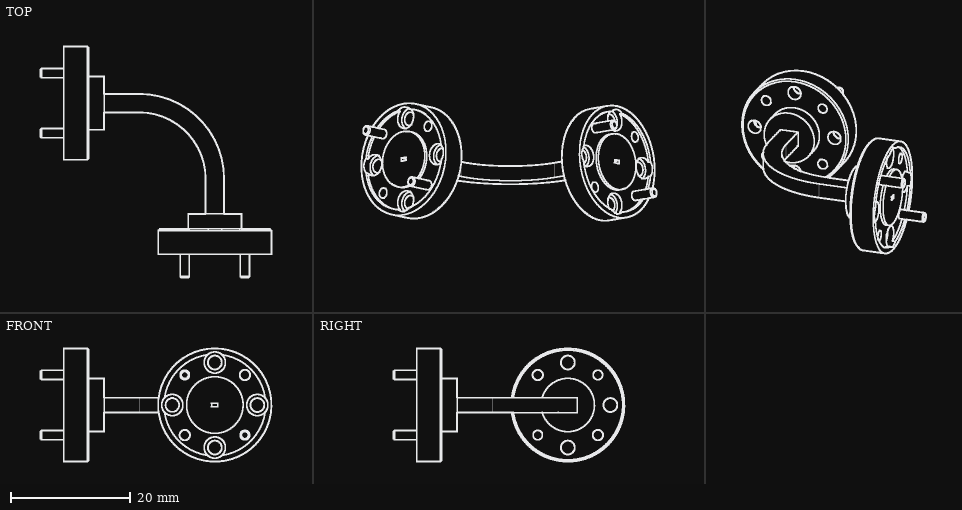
import cadquery as cq
import math

overall_length = 38.8
flange_diameter = 19.05
pin_protrusion = 3.88
face_distance = overall_length - flange_diameter / 2 - pin_protrusion

flange_thickness = 4.25
back_chamfer = 0.3
hub_diameter = 8.95
hub_length = 2.52
boss_diameter = 9.5
rim_inner_diameter = 17.07
recess_depth = 0.5

bolt_circle_radius = 7.15
screw_hole_diameter = 2.3
counterbore_diameter = 3.57
counterbore_depth = 1.55
alignment_hole_diameter = 1.7
screw_angles = [0, 90, 180, 270]
alignment_angles = [45, 225]
pin_angles = [135, 315]

pin_diameter = 1.6
pin_chamfer = 0.2

tube_width = 3.15
tube_height = 2.52
bend_radius = 12.7
channel_width = 1.05
channel_height = 0.55

port_turns = [0, -90]


def cylinder(diameter, start_depth, end_depth, angle=None):
    """Cylinder along +Y of the -Y port between two depths behind the flange face.

    It is centred on the port, or on the bolt circle when an angle is given.
    """
    x = 0 if angle is None else bolt_circle_radius * math.cos(math.radians(angle))
    z = 0 if angle is None else bolt_circle_radius * math.sin(math.radians(angle))
    base = cq.Vector(x, start_depth - face_distance, z)
    solid = cq.Solid.makeCylinder(diameter / 2, end_depth - start_depth, base, cq.Vector(0, 1, 0))
    return cq.Workplane(obj=solid)


def turn_to_port(shape, turn):
    return shape.rotate((0, 0, 0), (0, 0, 1), turn)


def make_flange():
    flange = cylinder(flange_diameter, 0, flange_thickness).faces(">Y").chamfer(back_chamfer)
    flange = flange.union(cylinder(hub_diameter, 0, flange_thickness + hub_length))

    recess = cylinder(rim_inner_diameter, 0, recess_depth).cut(cylinder(boss_diameter, 0, recess_depth))
    flange = flange.cut(recess)

    for angle in screw_angles:
        flange = flange.cut(cylinder(screw_hole_diameter, 0, flange_thickness, angle))
        flange = flange.cut(cylinder(counterbore_diameter, 0, counterbore_depth, angle))
    for angle in alignment_angles:
        flange = flange.cut(cylinder(alignment_hole_diameter, 0, flange_thickness, angle))
    for angle in pin_angles:
        flange = flange.cut(cylinder(pin_diameter, 0, flange_thickness, angle))
    return flange


def sweep_between_ports(width, height, end_depth):
    """Rectangular bar along the bent centre line, starting and ending behind the flange faces."""
    end = face_distance - end_depth
    arc_offset = bend_radius * (1 - math.sqrt(0.5))
    path = (
        cq.Workplane("XY")
        .moveTo(-end, 0)
        .lineTo(-bend_radius, 0)
        .threePointArc((-arc_offset, -arc_offset), (0, -bend_radius))
        .lineTo(0, -end)
    )
    return cq.Workplane("YZ", origin=(-end, 0, 0)).rect(width, height).sweep(path)


def make_waveguide():
    waveguide = sweep_between_ports(tube_width, tube_height, flange_thickness)
    for turn in port_turns:
        waveguide = waveguide.union(turn_to_port(make_flange(), turn))
    return waveguide.cut(sweep_between_ports(channel_width, channel_height, 0))


def make_pin(angle, turn):
    """Dowel pin with a chamfered tip, flush with the back of the flange."""
    pin = cylinder(pin_diameter, -pin_protrusion, flange_thickness, angle)
    return turn_to_port(pin.faces("<Y").chamfer(pin_chamfer), turn)


waveguide = make_waveguide()
pins = [make_pin(angle, turn) for turn in port_turns for angle in pin_angles]

result = cq.Compound.makeCompound([waveguide.val(), *[pin.val() for pin in pins]])